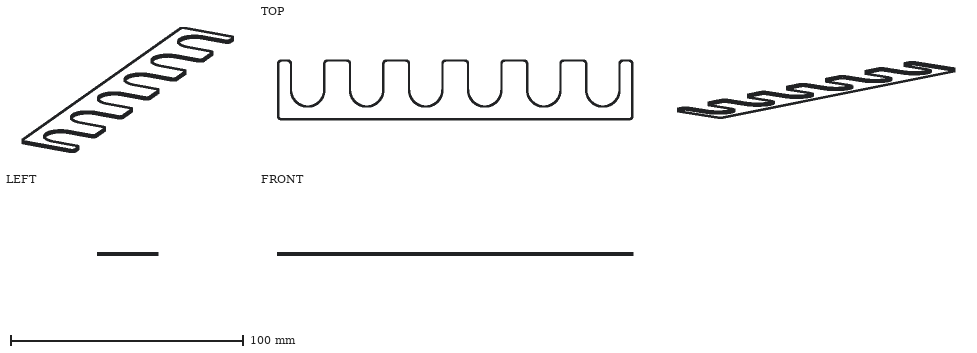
import cadquery as cq

SLOT_COUNT = 6
SLOT_PITCH = 25.4
PLATE_DEPTH = 25.4
PLATE_THICKNESS = 1.0
SLOT_WIDTH = 14.224
CORNER_RADIUS = 1.524

PLATE_LENGTH = SLOT_COUNT * SLOT_PITCH
SLOT_RADIUS = SLOT_WIDTH / 2
BACK_EDGE_Y = PLATE_DEPTH / 2
SLOT_CENTER_Y = 0.0


def make_plate():
    """Flat rectangular strip, centred in X and Y, resting on Z = 0."""
    return cq.Workplane("XY").box(
        PLATE_LENGTH, PLATE_DEPTH, PLATE_THICKNESS, centered=(True, True, False)
    )


def make_slot(center_x):
    """Round-bottomed slot that opens through the +Y edge."""
    return (
        cq.Workplane("XY")
        .moveTo(center_x - SLOT_RADIUS, BACK_EDGE_Y)
        .lineTo(center_x - SLOT_RADIUS, SLOT_CENTER_Y)
        .threePointArc(
            (center_x, SLOT_CENTER_Y - SLOT_RADIUS),
            (center_x + SLOT_RADIUS, SLOT_CENTER_Y),
        )
        .lineTo(center_x + SLOT_RADIUS, BACK_EDGE_Y)
        .close()
        .extrude(PLATE_THICKNESS)
    )


def cut_slots(plate):
    """Cut the row of evenly spaced slots, centred along the strip."""
    for index in range(SLOT_COUNT):
        center_x = (index - (SLOT_COUNT - 1) / 2) * SLOT_PITCH
        plate = plate.cut(make_slot(center_x))
    return plate


def round_corners(plate):
    """Round the finger tips and the two front corners of the strip."""
    finger_tips = plate.faces(">Y").edges("|Z")
    front_corners = plate.faces("<Y").edges("|Z")
    return plate.newObject(finger_tips.vals() + front_corners.vals()).fillet(CORNER_RADIUS)


result = round_corners(cut_slots(make_plate()))